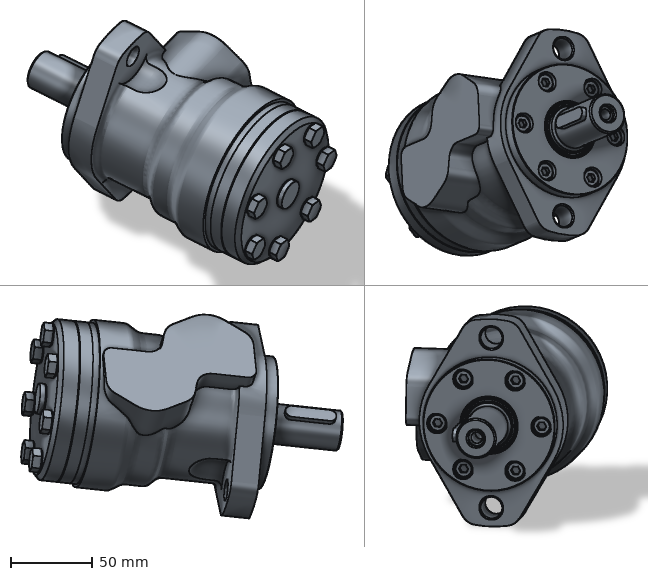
import cadquery as cq
import math


shaft_front = -54.2
pilot_front = -8.0
flange_back = 17.0
housing_back = 105.8
plate_back = 109.9
ring_back = 118.1
cover_back = 131.1

pilot_radius = 82.5 / 2
neck_radius = 40.6
waist_radius = 47.0
rear_radius = 52.0
flange_side_radius = 45.0
neck_step = 56.0
neck_step_angle = math.radians(45)
waist_step = 77.3
waist_step_angle = math.radians(31)
neck_root_fillet = 8.2
waist_edge_fillet = 5.7
waist_root_fillet = 7.8
rear_edge_fillet = 5.3
pilot_chamfer = 0.4

flange_end_radius = 65.0
flange_slope = math.radians(30)
flange_corner_radius = 11.0
mount_pitch = 106.4
mount_hole_diameter = 13.35
mount_hole_chamfer = 0.9
relief_radius = 18.5
relief_end = 26.5

port_face = 55.0
block_left = 8.5
block_right = 104.2
block_middle = (block_left + block_right) / 2
nose_x = 38.5
nose_height = 38.0
nose_radius = 20.0
nose_slope = math.radians(30)
shoulder_height = 28.4
wall_height = 19.2
wall_foot = 0.2
wall_lean = math.radians(5)
ledge_corner_radius = 5.3
side_top = (66.4, 18.8)
side_foot = (67.2, 13.7)

screw_count = 6
screw_circle_radius = 32.6
counterbore_diameter = 12.4
counterbore_depth = 3.5
screw_head_diameter = 10.0
screw_head_height = 1.5
socket_flats = 5.0
socket_depth = 3.0

shaft_radius = 12.5
collar_radius = 28.56 / 2
collar_start = -11.2
collar_full = -10.0
shaft_chamfer = 1.0
recess_mouth_diameter = 11.9
recess_diameter = 10.0
recess_depth = 3.0
tap_diameter = 7.0
tap_depth = 18.0
drill_tip = 2.0
seal_lip_diameter = 29.0
seal_lip_depth = 2.0
seal_lip_chamfer = 0.6
seal_groove_inner = 32.6
seal_groove_outer = 36.2
seal_groove_floor_outer = 34.6
seal_groove_depth = 1.0
key_length = 32.0
key_width = 8.0
key_height = 7.0
key_top = 15.5
key_front = -49.3

rear_plate_radius = 50.0
joint_chamfer = 0.3
cover_chamfer = 2.9

bolt_count = 7
bolt_circle_radius = 40.0
bolt_start_angle = -3.3
bolt_flats = 13.0
bolt_turn = -14.0
bolt_seat_height = 0.6
bolt_head_height = 6.1
bolt_edge_chamfer = 0.5
plug_diameter = 19.0
plug_seat_diameter = 18.0
plug_face_diameter = 18.63
plug_seat_height = 0.6
plug_straight_end = 3.3
plug_height = 4.1


def cylinder(start, end, diameter, y=0, z=0):
    """Round bar along X between two stations."""
    plane = cq.Workplane("YZ", origin=(start, y, z))
    return plane.circle(diameter / 2).extrude(end - start)


def hex_bar(start, end, flats, turn, y, z):
    """Hexagonal bar along X with its first corner turned from +Y."""
    plane = cq.Workplane("YZ", origin=(start, y, z))
    plane = plane.transformed(rotate=(0, 0, turn))
    return plane.polygon(6, flats / math.cos(math.pi / 6)).extrude(end - start)


def turned(points):
    """Solid turned about X from (x, radius) corners."""
    return cq.Workplane("XY").polyline(points).close().revolve(360, (0, 0), (1, 0))


def circle_points(count, radius, start_angle):
    """(y, z) places evenly spaced round the motor axis."""
    angles = [math.radians(start_angle + i * 360 / count) for i in range(count)]
    return [(radius * math.cos(a), radius * math.sin(a)) for a in angles]


def ring_edge(x, radius):
    """Selector box enclosing the circular edge of this radius at this station."""
    reach = radius + 1
    return cq.selectors.BoxSelector((x - 0.1, -reach, -reach), (x + 0.1, reach, reach), boundingbox=True)


def make_housing_body():
    """Turned body with two sloped steps, flaring into the flange at the front."""
    flare = flange_side_radius - neck_radius
    waist_start = neck_step + (waist_radius - neck_radius) / math.tan(neck_step_angle)
    rear_start = waist_step + (rear_radius - waist_radius) / math.tan(waist_step_angle)
    diagonal = flare * math.sin(math.pi / 4)
    flare_middle = (flange_back + flare - diagonal, flange_side_radius - diagonal)
    body = (
        cq.Workplane("XY")
        .moveTo(0, 0)
        .lineTo(0, flange_side_radius)
        .lineTo(flange_back, flange_side_radius)
        .threePointArc(flare_middle, (flange_back + flare, neck_radius))
        .lineTo(neck_step, neck_radius)
        .lineTo(waist_start, waist_radius)
        .lineTo(waist_step, waist_radius)
        .lineTo(rear_start, rear_radius)
        .lineTo(housing_back, rear_radius)
        .lineTo(housing_back, 0)
        .close()
        .revolve(360, (0, 0), (1, 0))
    )
    blends = [
        (neck_step, neck_radius, neck_root_fillet),
        (waist_start, waist_radius, waist_edge_fillet),
        (waist_step, waist_radius, waist_root_fillet),
        (rear_start, rear_radius, rear_edge_fillet),
    ]
    for x, radius, blend in blends:
        body = body.edges(ring_edge(x, radius)).fillet(blend)
    return body


def make_flange():
    """Two-bolt flange: round waist with straight sides running out to rounded ends."""
    tangent_y = flange_side_radius * math.cos(flange_slope)
    tangent_z = flange_side_radius * math.sin(flange_slope)
    apex_z = flange_side_radius / math.sin(flange_slope)
    outline = [
        (0, apex_z),
        (tangent_y, tangent_z),
        (tangent_y, -tangent_z),
        (0, -apex_z),
        (-tangent_y, -tangent_z),
        (-tangent_y, tangent_z),
    ]
    arms = cq.Workplane("YZ").polyline(outline).close().extrude(flange_back)
    arms = arms.intersect(cylinder(0, flange_back, 2 * flange_end_radius))
    for end in (">Z", "<Z"):
        arms = arms.edges("|X").edges(end).fillet(flange_corner_radius)
    return arms


def trace_block_half(outline, place):
    """Continue the block outline along one half: wall, nose, side, ledge and ledge corner."""
    slope_run = nose_radius * math.sin(nose_slope)
    slope_top = nose_height - nose_radius * (1 - math.cos(nose_slope))
    shoulder_run = slope_run + (slope_top - shoulder_height) / math.tan(nose_slope)
    wall_top_x = block_left + (wall_height - wall_foot) * math.tan(wall_lean)
    ledge_height = ledge_corner_radius * (1 + math.sin(wall_lean)) - wall_foot
    ledge_end = block_right - ledge_corner_radius * math.cos(wall_lean)
    side_lean = math.atan2(side_foot[0] - side_top[0], side_top[1] - side_foot[1])
    cove_radius = (side_foot[1] - ledge_height) / (1 - math.sin(side_lean))
    cove_end = side_foot[0] + cove_radius * math.cos(side_lean)
    return (
        outline.lineTo(*place(wall_top_x, wall_height))
        .tangentArcPoint(place(nose_x - shoulder_run, shoulder_height), relative=False)
        .lineTo(*place(nose_x - slope_run, slope_top))
        .tangentArcPoint(place(nose_x + slope_run, slope_top), relative=False)
        .lineTo(*place(nose_x + shoulder_run, shoulder_height))
        .tangentArcPoint(place(*side_top), relative=False)
        .lineTo(*place(*side_foot))
        .tangentArcPoint(place(cove_end, ledge_height), relative=False)
        .lineTo(*place(ledge_end, ledge_height))
        .tangentArcPoint(place(block_right, -wall_foot), relative=False)
    )


def make_port_block():
    """Block on the +Y side that carries the port face."""
    outline = cq.Workplane("XZ").moveTo(block_left, wall_foot)
    outline = trace_block_half(outline, lambda x, z: (x, z))
    outline = trace_block_half(outline, lambda x, z: (2 * block_middle - x, -z))
    return outline.close().extrude(-port_face)


def make_relief():
    """Round-ended bar along X that clears the neck behind a mounting hole."""
    tip = relief_end + relief_radius
    diagonal = relief_radius * math.sin(math.pi / 4)
    return (
        cq.Workplane("XY")
        .moveTo(flange_back, 0)
        .lineTo(flange_back, relief_radius)
        .lineTo(relief_end, relief_radius)
        .threePointArc((relief_end + diagonal, diagonal), (tip, 0))
        .close()
        .revolve(360, (0, 0), (1, 0))
    )


def cut_mount_holes(body):
    """Chamfered flange holes, each with a ball-ended relief in the neck behind it."""
    chamfer_radius = mount_hole_diameter / 2 + mount_hole_chamfer
    for side in (1, -1):
        z = side * mount_pitch / 2
        relief = make_relief().translate((0, 0, z))
        hole = cylinder(0, flange_back, mount_hole_diameter, z=z)
        mouth = turned([(0, 0), (0, chamfer_radius), (chamfer_radius, 0)]).translate((0, 0, z))
        body = body.cut(relief).cut(hole).cut(mouth)
    return body


def add_cover_screws(body):
    """Socket screw heads standing in counterbores in the pilot face."""
    floor = pilot_front + counterbore_depth
    head_face = floor - screw_head_height
    for y, z in circle_points(screw_count, screw_circle_radius, 0):
        body = body.cut(cylinder(pilot_front, floor, counterbore_diameter, y, z))
        body = body.union(cylinder(head_face, floor, screw_head_diameter, y, z))
        body = body.cut(hex_bar(head_face, head_face + socket_depth, socket_flats, 0, y, z))
    return body


def cut_shaft_bore(body):
    """Bore that holds the shaft, with chamfered seal lip clearance and a tapered seal groove."""
    groove_floor = pilot_front + seal_groove_depth
    groove = turned([
        (pilot_front, seal_groove_inner / 2),
        (pilot_front, seal_groove_outer / 2),
        (groove_floor, seal_groove_floor_outer / 2),
        (groove_floor, seal_groove_inner / 2),
    ])
    lip_radius = seal_lip_diameter / 2
    lip = turned([
        (pilot_front, 0),
        (pilot_front, lip_radius + seal_lip_chamfer),
        (pilot_front + seal_lip_chamfer, lip_radius),
        (pilot_front + seal_lip_depth, lip_radius),
        (pilot_front + seal_lip_depth, 0),
    ])
    body = body.cut(groove).cut(lip)
    return body.cut(cylinder(pilot_front, flange_back, 2 * collar_radius))


def make_housing():
    pilot = cylinder(pilot_front, 0, 2 * pilot_radius).faces("<X").chamfer(pilot_chamfer)
    body = make_housing_body().union(make_flange()).union(make_port_block())
    body = cut_mount_holes(body).union(pilot)
    return cut_shaft_bore(add_cover_screws(body))


def make_key():
    """Parallel key with round ends, standing out of the shaft on the +Y side."""
    plane = cq.Workplane("XZ", origin=(key_front + key_length / 2, key_top, 0))
    return plane.slot2D(key_length, key_width).extrude(key_height)


def make_shaft(key):
    """Output shaft with a collar, a tapped end hole and a keyway."""
    shaft = turned([
        (shaft_front, 0),
        (shaft_front, shaft_radius - shaft_chamfer),
        (shaft_front + shaft_chamfer, shaft_radius),
        (collar_start, shaft_radius),
        (collar_full, collar_radius),
        (flange_back, collar_radius),
        (flange_back, 0),
    ])
    mouth_end = shaft_front + (recess_mouth_diameter - recess_diameter) / 2
    recess_end = shaft_front + recess_depth
    tap_end = shaft_front + tap_depth
    end_hole = turned([
        (shaft_front, 0),
        (shaft_front, recess_mouth_diameter / 2),
        (mouth_end, recess_diameter / 2),
        (recess_end, recess_diameter / 2),
        (recess_end, tap_diameter / 2),
        (tap_end, tap_diameter / 2),
        (tap_end + drill_tip, 0),
    ])
    return shaft.cut(end_hole).cut(key)


def make_spacer_plate():
    return cylinder(housing_back, plate_back, 2 * rear_plate_radius)


def make_gear_ring():
    ring = cylinder(plate_back, ring_back, 2 * rear_plate_radius)
    return ring.faces(">X").chamfer(joint_chamfer)


def make_bolt_head(y, z):
    """Hexagon head on a round seat, with its outer corners bevelled."""
    seat_end = cover_back + bolt_seat_height
    head_end = cover_back + bolt_head_height
    corner_radius = bolt_flats / 2 / math.cos(math.pi / 6)
    head = hex_bar(seat_end, head_end, bolt_flats, bolt_turn, y, z)
    bevel = cylinder(seat_end, head_end, 2 * corner_radius, y, z)
    bevel = bevel.faces(">X").chamfer(bolt_edge_chamfer)
    return head.intersect(bevel).union(cylinder(cover_back, seat_end, bolt_flats, y, z))


def make_end_cover():
    """End cover with its hexagon bolts and drain plug."""
    cover = cylinder(ring_back, cover_back, 2 * rear_plate_radius)
    cover = cover.faces(">X").chamfer(cover_chamfer).faces("<X").chamfer(joint_chamfer)
    for y, z in circle_points(bolt_count, bolt_circle_radius, bolt_start_angle):
        cover = cover.union(make_bolt_head(y, z))
    plug = turned([
        (cover_back, 0),
        (cover_back, plug_seat_diameter / 2),
        (cover_back + plug_seat_height, plug_seat_diameter / 2),
        (cover_back + plug_seat_height, plug_diameter / 2),
        (cover_back + plug_straight_end, plug_diameter / 2),
        (cover_back + plug_height, plug_face_diameter / 2),
        (cover_back + plug_height, 0),
    ])
    return cover.union(plug)


housing = make_housing()
key = make_key()
shaft = make_shaft(key)
spacer_plate = make_spacer_plate()
gear_ring = make_gear_ring()
end_cover = make_end_cover()

bodies = [housing, shaft, key, spacer_plate, gear_ring, end_cover]
result = cq.Compound.makeCompound([body.val() for body in bodies])